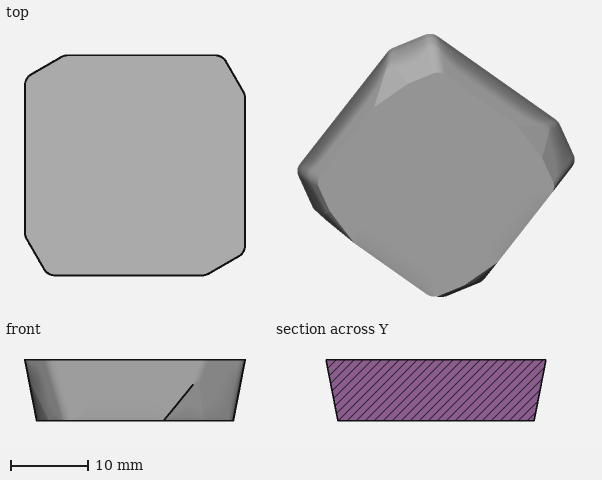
import cadquery as cq
import math

width = 28.52
height = 7.93
side_relief = 11.0
corner_radius = 1.7

flat_turn = 30.0
flat_relief = 19.8
flat_start = 9.13

facet_turn = 17.2
facet_relief = 23.1
facet_start = 3.68

half_width = width / 2
bottom_half_width = half_width - height * math.tan(math.radians(side_relief))
cutter_size = 3 * width


def cut_plane(body, point, turn, relief):
    """Remove everything outside a leaning plane through a point on the front side."""
    turn_angle = math.radians(turn)
    relief_angle = math.radians(relief)
    along = (math.cos(turn_angle), math.sin(turn_angle), 0)
    outward = (
        math.sin(turn_angle) * math.cos(relief_angle),
        -math.cos(turn_angle) * math.cos(relief_angle),
        -math.sin(relief_angle),
    )
    plane = cq.Plane(origin=point, xDir=along, normal=outward)
    cutter = cq.Workplane(plane).rect(cutter_size, cutter_size).extrude(width)
    for quarter in range(4):
        body = body.cut(cutter.rotate((0, 0, 0), (0, 0, 1), 90 * quarter))
    return body


body = cq.Workplane("XY").box(width, width, height, centered=(True, True, False))
body = cut_plane(body, (0, -half_width, height), 0, side_relief)
body = cut_plane(body, (flat_start, -half_width, height), flat_turn, flat_relief)

body = body.edges("not #Z").fillet(corner_radius)

result = cut_plane(body, (facet_start, -bottom_half_width, 0), facet_turn, facet_relief)